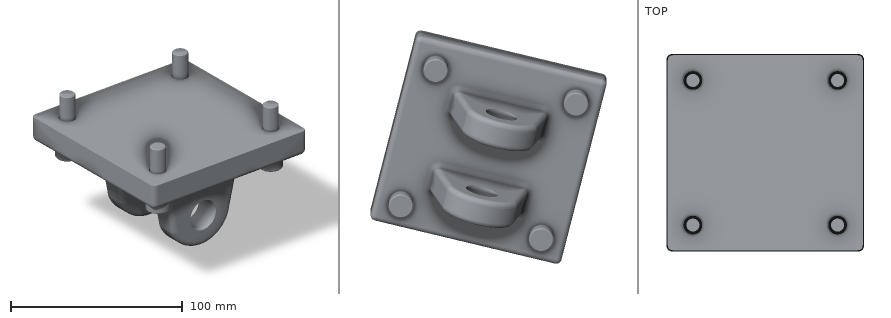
import cadquery as cq

plate_side = 114.3
plate_thickness = 15.9
edge_radius = 3.2

lug_thickness = 15.9
lug_gap = 31.8
lug_base_width = 57.4
lug_depth = 51.5
front_shoulder_y = -21.5
front_shoulder_depth = 37.6
back_shoulder_y = 20.1
back_shoulder_depth = 37.0
lug_tip_y = -0.7
lug_hole_diameter = 19.1
lug_hole_depth = 31.8

screw_pitch = 84.1
screw_diameter = 9.4
screw_protrusion = 15.9
screw_end_chamfer = 0.6
head_diameter = 14.2
head_height = 9.5
head_chamfer = 0.6
screw_hole_diameter = 10.2

screw_length = plate_thickness + screw_protrusion
lug_offset = (lug_gap + lug_thickness) / 2
screw_offset = screw_pitch / 2
blend_margin = 0.1
screw_places = [(x, y) for x in (-screw_offset, screw_offset) for y in (-screw_offset, screw_offset)]


def make_lug(x_center):
    """Tapered lug with a round lower end; its top lies on the underside of the plate (Z = 0)."""
    half_base = lug_base_width / 2
    lug = (
        cq.Workplane("YZ")
        .moveTo(-half_base, 0)
        .lineTo(front_shoulder_y, -front_shoulder_depth)
        .threePointArc((lug_tip_y, -lug_depth), (back_shoulder_y, -back_shoulder_depth))
        .lineTo(half_base, 0)
        .close()
        .extrude(lug_thickness / 2, both=True)
    )
    lug = lug.faces("<X or >X").edges("not >Z").fillet(edge_radius)
    return lug.translate((x_center, 0, 0))


def make_bracket():
    """Plate with rounded edges and two lugs, pierced by the screw holes and the lug hole."""
    bracket = (
        cq.Workplane("XY")
        .rect(plate_side, plate_side)
        .extrude(plate_thickness)
        .edges("|Z").fillet(edge_radius)
        .faces("<Z").edges().fillet(edge_radius)
    )
    for x_center in (-lug_offset, lug_offset):
        bracket = bracket.union(make_lug(x_center))

    blend_zone = cq.selectors.BoxSelector(
        (-screw_offset, -screw_offset, -blend_margin), (screw_offset, screw_offset, blend_margin)
    )
    bracket = bracket.edges(blend_zone).fillet(edge_radius)

    bracket = (
        bracket.faces(">Z").workplane(origin=(0, 0, plate_thickness))
        .pushPoints(screw_places)
        .circle(screw_hole_diameter / 2)
        .cutBlind(-plate_thickness)
    )
    lug_hole = (
        cq.Workplane("YZ")
        .center(0, -lug_hole_depth)
        .circle(lug_hole_diameter / 2)
        .extrude(plate_side, both=True)
    )
    return bracket.cut(lug_hole)


def make_screw(x, y):
    """Upright screw: the head bears on the underside of the plate, the shank rises through it."""
    head = (
        cq.Workplane("XY")
        .circle(head_diameter / 2)
        .extrude(-head_height)
        .faces("<Z").edges().chamfer(head_chamfer)
    )
    shank = (
        cq.Workplane("XY")
        .circle(screw_diameter / 2)
        .extrude(screw_length)
        .faces(">Z").edges().chamfer(screw_end_chamfer)
    )
    return head.union(shank).translate((x, y, 0))


bracket = make_bracket()
screws = [make_screw(x, y) for x, y in screw_places]

result = cq.Compound.makeCompound([bracket.val(), *[screw.val() for screw in screws]])